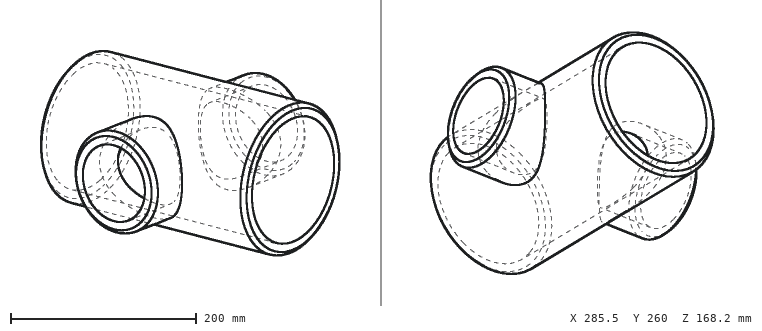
import cadquery as cq

main_length = 285.5
main_diameter = 168.2
main_bore = 140.2
branch_span = 260.0
branch_diameter = 114.5
branch_bore = 86.2
end_chamfer = 4.9


def centred_cylinder(plane, diameter, length):
    """Cylinder centred on the origin, with its axis normal to the plane."""
    return cq.Workplane(plane).circle(diameter / 2).extrude(length / 2, both=True)


def chamfered_cylinder(plane, diameter, length):
    """Centred cylinder with the outer edge of both ends chamfered."""
    return centred_cylinder(plane, diameter, length).edges("%CIRCLE").chamfer(end_chamfer)


main_body = chamfered_cylinder("YZ", main_diameter, main_length)
branch_body = chamfered_cylinder("XZ", branch_diameter, branch_span)

main_passage = centred_cylinder("YZ", main_bore, main_length)
branch_passage = centred_cylinder("XZ", branch_bore, branch_span)

result = main_body.union(branch_body).cut(main_passage).cut(branch_passage)